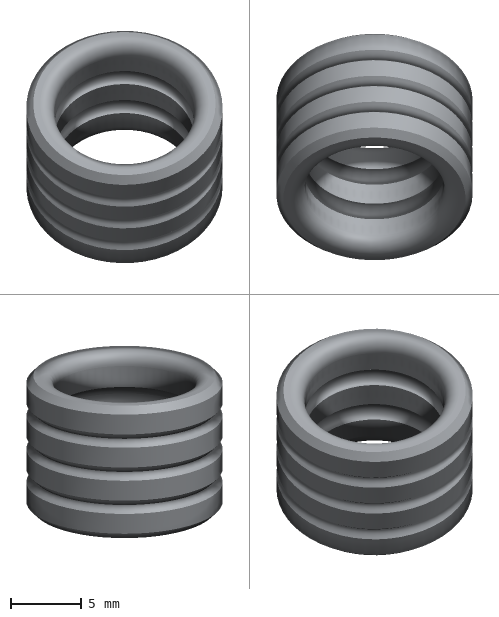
import cadquery as cq

outer_diameter = 14.0
height = 10.0
ring_count = 4
inner_groove_count = 2
inner_groove_width = 1.5

outer_radius = outer_diameter / 2
wall = outer_diameter / 7
bore_radius = outer_radius - wall
mouth_radius = wall / 2
ring_height = height / ring_count
ring_chamfer = wall / 4
inner_groove_radius = inner_groove_width / 2
inner_groove_pitch = height / (inner_groove_count + 1)


def make_ring(index):
    """One outer ring; neighbouring chamfers leave a V groove between rings."""
    ring = cq.Workplane("XY").circle(outer_radius).extrude(ring_height)
    return ring.edges().chamfer(ring_chamfer).translate((0, 0, index * ring_height))


def make_inner_groove(index):
    """Round-bottomed groove centred on the bore wall."""
    level = (index + 1) * inner_groove_pitch
    profile = cq.Workplane("XZ").center(bore_radius, level).circle(inner_groove_radius)
    return profile.revolve(360, (-bore_radius, 0, 0), (-bore_radius, 1, 0))


body = make_ring(0)
for index in range(1, ring_count):
    body = body.union(make_ring(index))

body = body.cut(cq.Workplane("XY").circle(bore_radius).extrude(height))
bore_rims = cq.selectors.RadiusNthSelector(0)
body = body.edges("%CIRCLE").edges(bore_rims).fillet(mouth_radius)

for index in range(inner_groove_count):
    body = body.cut(make_inner_groove(index))

result = body